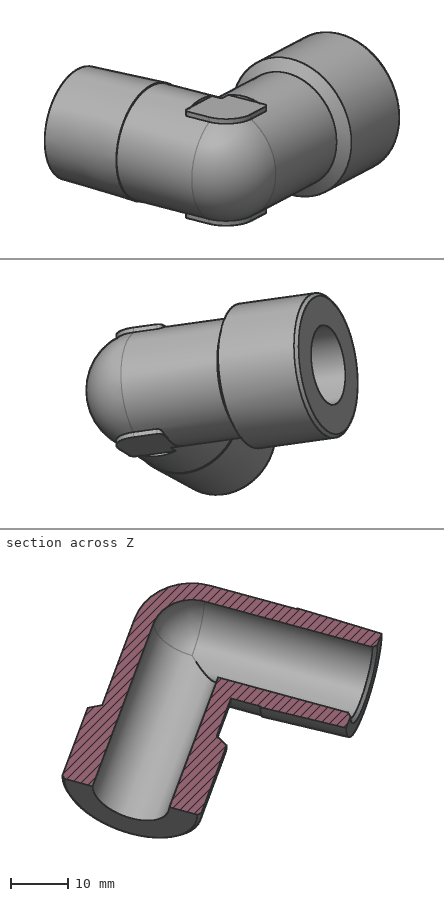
import cadquery as cq
import math

body_radius = 10.5
bore_radius = 7.0
mouth_chamfer = 0.7

male_length = 31.5
taper_length = 15.6
taper_end_radius = 10.2
taper_root_radius = 10.7

socket_radius = 12.75
socket_face = 35.0
socket_start = 18.55
socket_edge_chamfer = 0.6
shoulder_angle = 30
shoulder_length = (socket_radius - body_radius) * math.tan(math.radians(shoulder_angle))

pad_half_width = 5.25
pad_height = 10.0
pad_corner_radius = 0.8
pad_notch = math.sqrt(body_radius**2 - pad_height**2)


def elbow(radius):
    """Two round bars meeting at a ball, long enough to reach both ends."""
    male_bar = cq.Workplane("YZ").circle(radius).extrude(-male_length)
    socket_bar = cq.Workplane("XZ").circle(radius).extrude(-socket_face)
    return male_bar.union(socket_bar).union(cq.Workplane("XY").sphere(radius))


def male_end():
    """Tapered spigot, standing slightly proud of the body at its root."""
    root = -male_length + taper_length
    profile = [
        (-male_length, 0),
        (-male_length, taper_end_radius),
        (root, taper_root_radius),
        (root, 0),
    ]
    return cq.Workplane("XY").polyline(profile).close().revolve(360, (0, 0), (1, 0))


def socket_end():
    """Enlarged collar with a conical shoulder and a chamfered face edge."""
    profile = [
        (0, socket_start),
        (body_radius, socket_start),
        (socket_radius, socket_start + shoulder_length),
        (socket_radius, socket_face - socket_edge_chamfer),
        (socket_radius - socket_edge_chamfer, socket_face),
        (0, socket_face),
    ]
    return cq.Workplane("XY").polyline(profile).close().revolve(360, (0, 0), (0, 1))


def pad_prism(bottom, top):
    """Notched pad outline, with a large round following the outer bend."""
    w = pad_half_width
    prism = (
        cq.Workplane("XY", origin=(0, 0, bottom))
        .moveTo(-w, -w)
        .lineTo(0, -w)
        .radiusArc((w, 0), -w)
        .lineTo(w, w)
        .lineTo(-pad_notch, w)
        .lineTo(-pad_notch, pad_notch)
        .lineTo(-w, pad_notch)
        .close()
        .extrude(top - bottom)
    )
    for corner in ((-w, -w), (w, w)):
        edge = cq.selectors.NearestToPointSelector((*corner, (bottom + top) / 2))
        prism = prism.edges("|Z").edges(edge).fillet(pad_corner_radius)
    return prism


taper_clearance = (
    cq.Workplane("YZ", origin=(-male_length, 0, 0)).circle(2 * body_radius).extrude(taper_length)
)
body = elbow(body_radius).cut(taper_clearance).union(male_end()).union(socket_end())

pad = pad_prism(0, pad_height)
pad_trim = pad_prism(pad_height, body_radius + 0.45)
for side in (pad, pad.mirror("XY")):
    body = body.union(side)
for side in (pad_trim, pad_trim.mirror("XY")):
    body = body.cut(side)

mouth = cq.Workplane("XY").polyline([
    (-male_length, 0),
    (-male_length, bore_radius + mouth_chamfer),
    (-male_length + mouth_chamfer, bore_radius),
    (-male_length + mouth_chamfer, 0),
]).close().revolve(360, (0, 0), (1, 0))
result = body.cut(elbow(bore_radius)).cut(mouth)